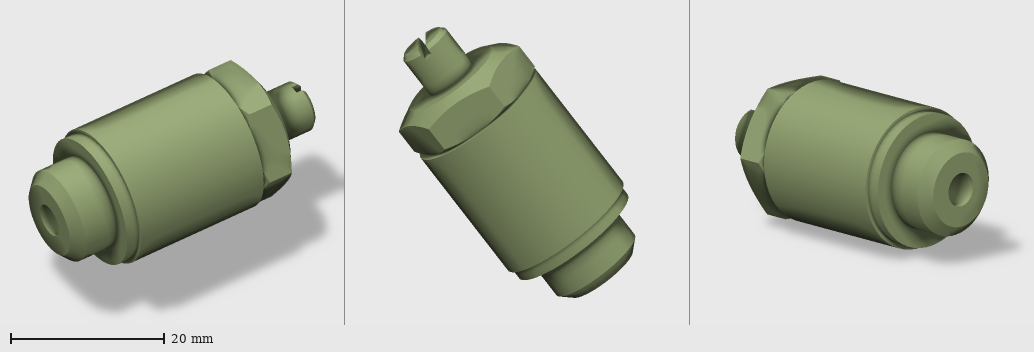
import cadquery as cq
import math

total_length = 39.5

spigot_end = 6.32
collar_end = 8.1
body_end = 27.22
hex_end = 33.2

spigot_diameter = 12.95
collar_diameter = 17.95
body_diameter = 19.0
stem_diameter = 7.0

tip_diameter = 10.0
tip_chamfer_length = 1.45
bore_diameter = 4.5
bore_depth = spigot_end

hex_across_flats = 17.0
hex_corner_diameter = hex_across_flats / math.cos(math.radians(30))
hex_top_diameter = 13.45
hex_chamfer_slope = math.tan(math.radians(30))

stem_chamfer = 0.6
slot_width = 1.2
slot_depth = 1.42


def revolve_profile(points):
    """Revolve (radius, Y) points about the Y axis."""
    return cq.Workplane("XY").polyline(points).close().revolve(360, (0, 0, 0), (0, 1, 0))


def cylinder(diameter, start, end):
    radius = diameter / 2
    return revolve_profile([(0, start), (radius, start), (radius, end), (0, end)])


def make_spigot():
    tip_radius = tip_diameter / 2
    radius = spigot_diameter / 2
    return revolve_profile([
        (0, 0),
        (tip_radius, 0),
        (radius, tip_chamfer_length),
        (radius, spigot_end),
        (0, spigot_end),
    ])


def make_hexagon():
    """Hexagon with its corners turned off by a cone at each end."""
    prism = (
        cq.Workplane("XZ", origin=(0, body_end, 0))
        .polygon(6, hex_corner_diameter)
        .extrude(body_end - hex_end)
    )
    base_radius = hex_across_flats / 2
    corner_radius = hex_corner_diameter / 2
    top_radius = hex_top_diameter / 2
    base_chamfer = (corner_radius - base_radius) * hex_chamfer_slope
    top_chamfer = (corner_radius - top_radius) * hex_chamfer_slope
    envelope = revolve_profile([
        (0, body_end),
        (base_radius, body_end),
        (corner_radius, body_end + base_chamfer),
        (corner_radius, hex_end - top_chamfer),
        (top_radius, hex_end),
        (0, hex_end),
    ])
    return prism.intersect(envelope)


def make_stem():
    """Chamfered stem with a screwdriver slot running along Z."""
    stem = cylinder(stem_diameter, hex_end, total_length).faces(">Y").chamfer(stem_chamfer)
    slot = cq.Workplane("XY").box(slot_width, 2 * slot_depth, stem_diameter)
    return stem.cut(slot.translate((0, total_length, 0)))


result = (
    make_spigot()
    .union(cylinder(collar_diameter, spigot_end, collar_end))
    .union(cylinder(body_diameter, collar_end, body_end))
    .union(make_hexagon())
    .union(make_stem())
    .cut(cylinder(bore_diameter, 0, bore_depth))
)